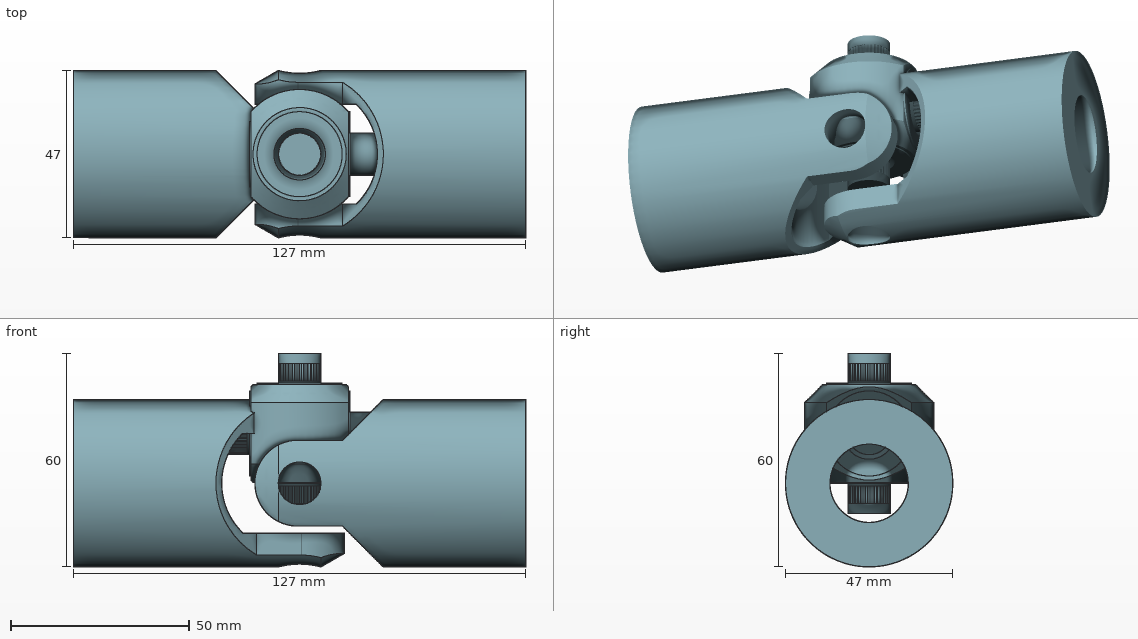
import cadquery as cq
import math


yoke_length = 63.5
yoke_radius = 23.5
bore_radius = 22.0 / 2
arm_half_width = 12.1
arm_tip = 12.6
tip_cone_start = 6.0
tip_cone_angle = 30.0
pocket_half_gap = 14.0
pocket_floor_radius = 19.4
pocket_floor_reach = 21.8

hub_half = 14.1
hub_lift = 14.0
hub_radius = 18.2
hub_chamfer = 5.1
boss_radius = 12.0
boss_height = 0.4
countersink_radius = 7.2

pin_radius = 6.0
pin_reach = 22.5
knurl_inner = 14.7
knurl_outer = 19.7
knurl_teeth = 36
knurl_depth = 0.3


def yoke():
    """Yoke on the -X side with its arms above and below the axis."""
    tip_radius = yoke_radius - (arm_tip - tip_cone_start) * math.tan(math.radians(tip_cone_angle))
    blank = (
        cq.Workplane("XY")
        .moveTo(-yoke_length, 0)
        .lineTo(-yoke_length, yoke_radius)
        .lineTo(tip_cone_start, yoke_radius)
        .lineTo(arm_tip, tip_radius)
        .lineTo(arm_tip, 0)
        .close()
        .revolve(360, (0, 0, 0), (1, 0, 0))
    )
    tip_centre = arm_tip - arm_half_width
    outline = (
        cq.Workplane("XY")
        .moveTo(-yoke_length, -yoke_radius)
        .lineTo(-yoke_radius, -yoke_radius)
        .lineTo(-arm_half_width, -arm_half_width)
        .lineTo(tip_centre, -arm_half_width)
        .threePointArc((arm_tip, 0), (tip_centre, arm_half_width))
        .lineTo(-arm_half_width, arm_half_width)
        .lineTo(-yoke_radius, yoke_radius)
        .lineTo(-yoke_length, yoke_radius)
        .close()
        .extrude(yoke_radius, both=True)
    )
    floor_centre = pocket_floor_radius - pocket_floor_reach
    floor_start = floor_centre - math.sqrt(pocket_floor_radius**2 - pocket_half_gap**2)
    pocket = (
        cq.Workplane("XZ")
        .moveTo(arm_tip, -pocket_half_gap)
        .lineTo(floor_start, -pocket_half_gap)
        .threePointArc((-pocket_floor_reach, 0), (floor_start, pocket_half_gap))
        .lineTo(arm_tip, pocket_half_gap)
        .close()
        .extrude(yoke_radius, both=True)
    )
    bore = cq.Workplane("YZ", origin=(-yoke_length, 0, 0)).circle(bore_radius).extrude(yoke_length)
    pin_hole = cq.Workplane("XY").circle(pin_radius).extrude(yoke_radius, both=True)
    return blank.intersect(outline).cut(pocket).cut(bore).cut(pin_hole)


def pin(inner_end):
    """Pin along +Z, from inner_end to pin_reach, with a knurled band near the outer end."""
    shank = cq.Workplane("XY", origin=(0, 0, inner_end)).circle(pin_radius).extrude(pin_reach - inner_end)
    points = []
    for i in range(2 * knurl_teeth):
        radius = pin_radius - knurl_depth * (i % 2)
        angle = math.pi * i / knurl_teeth
        points.append((radius * math.cos(angle), radius * math.sin(angle)))
    band = knurl_outer - knurl_inner
    sleeve = cq.Workplane("XY", origin=(0, 0, knurl_inner)).circle(2 * pin_radius).extrude(band)
    teeth = cq.Workplane("XY", origin=(0, 0, knurl_inner)).polyline(points).close().extrude(band)
    return shank.cut(sleeve.cut(teeth))


def hub():
    """Hub centred on the origin, with bosses and countersunk pin holes on its X and Z faces."""
    body_half = hub_half - boss_height
    body = cq.Workplane("XY").circle(hub_radius).extrude(body_half, both=True).edges().chamfer(hub_chamfer)
    body = body.intersect(cq.Workplane("XY").box(2 * body_half, 2 * hub_radius, 2 * body_half))
    for plane in ("XY", "YZ"):
        boss_pair = cq.Workplane(plane).circle(boss_radius).extrude(hub_half, both=True)
        body = body.union(boss_pair)
    sink_depth = countersink_radius - pin_radius
    for plane in ("XY", "YZ"):
        body = body.cut(cq.Workplane(plane).circle(pin_radius).extrude(hub_half, both=True))
        for side in (1, -1):
            sink = (
                cq.Workplane(plane)
                .workplane(offset=side * hub_half)
                .circle(countersink_radius)
                .workplane(offset=-side * sink_depth)
                .circle(pin_radius)
                .loft()
            )
            body = body.cut(sink)
    return body


lift = (0, 0, hub_lift)

long_pin = pin(-pin_reach).rotate((0, 0, 0), (0, 1, 0), -90).translate(lift)

short_pins = []
for turn in (0, 180):
    short_pins.append(pin(pin_radius).rotate((0, 0, 0), (1, 0, 0), turn).translate(lift))

left_yoke = yoke().cut(long_pin)
right_yoke = yoke().rotate((0, 0, 0), (0, 0, 1), 180).rotate((0, 0, 0), (1, 0, 0), 90).cut(long_pin)

joint_hub = hub().translate(lift).cut(left_yoke).cut(right_yoke)

bodies = [left_yoke, right_yoke, joint_hub, long_pin, *short_pins]
result = cq.Compound.makeCompound([body.solids().val() for body in bodies])